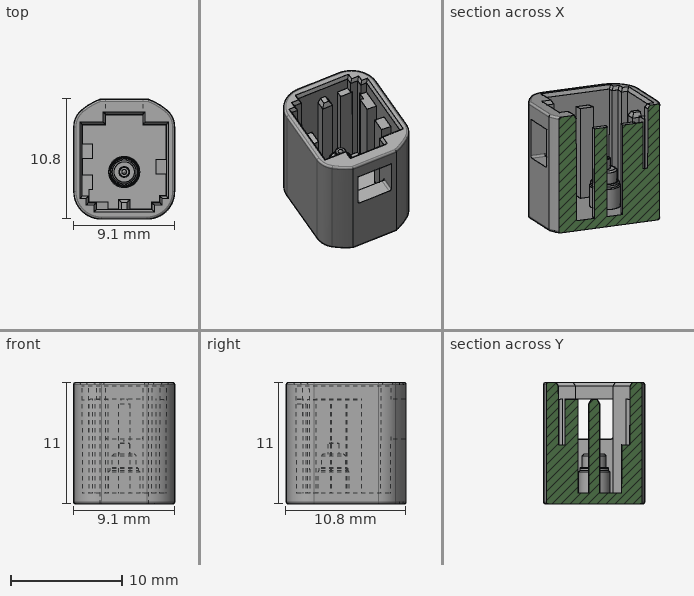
import cadquery as cq
import math

WIDTH = 9.1
DEPTH = 10.8
HEIGHT = 10.95
FRONT_CORNER_RADIUS = 2.5
CROWN_RADIUS = 6.0
CROWN_FLAT_WIDTH = 4.4
SHOULDER_RADIUS = 2.0
RIM_FILLET = 0.2

FLOOR_Z = 1.0
CAVITY_HALF_WIDTH = 3.74
CAVITY_FRONT_Y = 0.92
CAVITY_REAR_Y = 8.48
TAB_HALF_WIDTH = 1.69
TAB_REAR_Y = 9.38
OUTER_STEP_HALF_WIDTH = 3.16
OUTER_STEP_Y = 2.13
INNER_STEP_HALF_WIDTH = 2.45
INNER_STEP_Y = 1.53
DRAFT_GROWTH = 0.06
MOUTH_FLARE = 0.2
FLARE_ANGLE = 60.0
MOUTH_DEPTH = MOUTH_FLARE * math.tan(math.radians(FLARE_ANGLE))

WINDOW_TOP_Z = HEIGHT - 1.5
WINDOW_HEIGHT = 3.6
WINDOW_CORNER_RADIUS = 0.2

POST_TOP_Z = WINDOW_TOP_Z
POST_SLOPE = 5.0
WALL_OVERLAP = 0.2
POST_INNER_X = 2.84
POST_LENGTH = 1.3
LEFT_POST_FRONT_Y = (2.68, 5.46)
RIGHT_POST_FRONT_Y = 4.08
WEB_INNER_X = OUTER_STEP_HALF_WIDTH
FRONT_POST_INNER_X = 1.46

RIB_WIDTH = 1.0
RIB_REAR_Y = 1.76
RIB_CHAMFER_WIDTH = 0.25
RIB_TOP_Z = POST_TOP_Z

CONTACT_Y = 4.25
COLLAR_RADIUS = 1.4
COLLAR_TOP_Z = 3.0
COLLAR_CHAMFER = 0.1
COLLAR_STEP_HEIGHT = 0.3
SLEEVE_RADIUS = 1.08
SLEEVE_TOP_Z = 4.5
SLEEVE_CHAMFER = 0.16
PIN_RADIUS = 0.48
PIN_TOP_Z = 5.5
PIN_CHAMFER = 0.06
TIP_RADIUS = 0.22
TIP_HEIGHT = 0.22


def polar(center, radius, angle):
    """Point at an angle (radians, from +X) on a circle."""
    return (center[0] + radius * math.cos(angle), center[1] + radius * math.sin(angle))


def mirrored(point):
    return (-point[0], point[1])


def make_shell():
    """Solid body: rounded near corners, two-arc shoulders and a flat at the rear."""
    half_width = WIDTH / 2
    near_flat = half_width - FRONT_CORNER_RADIUS
    corner_center = (near_flat, FRONT_CORNER_RADIUS)
    crown_flat = CROWN_FLAT_WIDTH / 2
    crown_center = (0, DEPTH - math.sqrt(CROWN_RADIUS**2 - crown_flat**2))
    shoulder_x = half_width - SHOULDER_RADIUS
    shoulder_rise = math.sqrt((CROWN_RADIUS - SHOULDER_RADIUS)**2 - shoulder_x**2)
    shoulder_center = (shoulder_x, crown_center[1] + shoulder_rise)
    blend_angle = math.atan2(shoulder_rise, shoulder_x)
    flat_angle = math.acos(crown_flat / CROWN_RADIUS)

    corner_mid = polar(corner_center, FRONT_CORNER_RADIUS, -math.pi / 4)
    shoulder_mid = polar(shoulder_center, SHOULDER_RADIUS, blend_angle / 2)
    blend = polar(crown_center, CROWN_RADIUS, blend_angle)
    crown_mid = polar(crown_center, CROWN_RADIUS, (blend_angle + flat_angle) / 2)

    outline = (
        cq.Workplane("XY")
        .moveTo(-near_flat, 0)
        .lineTo(near_flat, 0)
        .threePointArc(corner_mid, (half_width, FRONT_CORNER_RADIUS))
        .lineTo(half_width, shoulder_center[1])
        .threePointArc(shoulder_mid, blend)
        .threePointArc(crown_mid, (crown_flat, DEPTH))
        .lineTo(-crown_flat, DEPTH)
        .threePointArc(mirrored(crown_mid), mirrored(blend))
        .threePointArc(mirrored(shoulder_mid), (-half_width, shoulder_center[1]))
        .lineTo(-half_width, FRONT_CORNER_RADIUS)
        .threePointArc(mirrored(corner_mid), (-near_flat, 0))
        .close()
    )
    return outline.extrude(HEIGHT).faces("<Z or >Z").edges().fillet(RIM_FILLET)


def cavity_outline(z, draft, flare):
    """Closed stepped outline of the cavity at a height, grown outwards by draft and flare."""
    growth = draft + flare
    right_half = [
        (INNER_STEP_HALF_WIDTH + growth, CAVITY_FRONT_Y - growth),
        (INNER_STEP_HALF_WIDTH + growth, INNER_STEP_Y - growth),
        (OUTER_STEP_HALF_WIDTH + growth, INNER_STEP_Y - growth),
        (OUTER_STEP_HALF_WIDTH + growth, OUTER_STEP_Y - growth),
        (CAVITY_HALF_WIDTH + growth, OUTER_STEP_Y - growth),
        (CAVITY_HALF_WIDTH + growth, CAVITY_REAR_Y + growth),
        (TAB_HALF_WIDTH + flare, CAVITY_REAR_Y + growth),
        (TAB_HALF_WIDTH + flare, TAB_REAR_Y + growth),
    ]
    left_half = [mirrored(point) for point in reversed(right_half)]
    return cq.Wire.makePolygon([cq.Vector(x, y, z) for x, y in right_half + left_half], close=True)


def make_cavity():
    """Pocket with slightly leaning walls, topped by a flared mouth."""
    floor = cavity_outline(FLOOR_Z, 0, 0)
    throat = cavity_outline(HEIGHT - MOUTH_DEPTH, DRAFT_GROWTH, 0)
    rim = cavity_outline(HEIGHT, DRAFT_GROWTH, MOUTH_FLARE)
    pocket = cq.Solid.makeLoft([floor, throat], True)
    mouth = cq.Solid.makeLoft([throat, rim], True)
    return cq.Workplane(pocket).union(cq.Workplane(mouth))


def make_window():
    """Opening through the rear wall behind the tab recess, rounded at the sill."""
    return (
        cq.Workplane("XY")
        .box(2 * TAB_HALF_WIDTH, DEPTH - CAVITY_REAR_Y, WINDOW_HEIGHT, centered=(True, False, False))
        .translate((0, CAVITY_REAR_Y, WINDOW_TOP_Z - WINDOW_HEIGHT))
        .edges("|Y and <Z")
        .fillet(WINDOW_CORNER_RADIUS)
    )


def make_post(reach, length):
    """Post standing on the floor: inner face at X = 0, wall at X = reach, Y from 0 to length."""
    wall_top_z = POST_TOP_Z - reach * math.tan(math.radians(POST_SLOPE))
    return (
        cq.Workplane("XZ")
        .polyline([(0, FLOOR_Z), (reach, FLOOR_Z), (reach, wall_top_z), (0, POST_TOP_Z)])
        .close()
        .extrude(-length)
    )


def make_posts():
    side_reach = CAVITY_HALF_WIDTH - POST_INNER_X + WALL_OVERLAP
    right_post = make_post(side_reach, POST_LENGTH)
    left_post = right_post.mirror("YZ")
    posts = right_post.translate((POST_INNER_X, RIGHT_POST_FRONT_Y, 0))
    for front_y in LEFT_POST_FRONT_Y:
        posts = posts.union(left_post.translate((-POST_INNER_X, front_y, 0)))

    web_front_y = OUTER_STEP_Y - WALL_OVERLAP
    web_length = LEFT_POST_FRONT_Y[0] - web_front_y
    web_width = CAVITY_HALF_WIDTH - WEB_INNER_X + WALL_OVERLAP
    web_limits = (
        cq.Workplane("XY")
        .box(web_width, web_length, HEIGHT, centered=False)
        .translate((-CAVITY_HALF_WIDTH - WALL_OVERLAP, web_front_y, 0))
    )
    web = make_post(side_reach, web_length).mirror("YZ").translate((-POST_INNER_X, web_front_y, 0))
    posts = posts.union(web.intersect(web_limits))

    front_post_left_x = -INNER_STEP_HALF_WIDTH - WALL_OVERLAP
    front_post = (
        make_post(INNER_STEP_Y - CAVITY_FRONT_Y + WALL_OVERLAP, -FRONT_POST_INNER_X - front_post_left_x)
        .rotate((0, 0, 0), (0, 0, 1), -90)
        .translate((front_post_left_x, INNER_STEP_Y, 0))
    )
    return posts.union(front_post)


def make_rib():
    """Key rib on the near wall with a steep chamfer around its top."""
    chamfer_height = RIB_CHAMFER_WIDTH * math.tan(math.radians(FLARE_ANGLE))
    rib_front_y = CAVITY_FRONT_Y - WALL_OVERLAP - RIB_CHAMFER_WIDTH
    rib_length = RIB_REAR_Y - rib_front_y
    return (
        cq.Workplane("XY", origin=(0, rib_front_y + rib_length / 2, FLOOR_Z))
        .rect(RIB_WIDTH, rib_length)
        .extrude(RIB_TOP_Z - chamfer_height - FLOOR_Z)
        .faces(">Z")
        .wires()
        .toPending()
        .workplane()
        .extrude(chamfer_height, taper=90 - FLARE_ANGLE)
    )


def make_contact():
    """Stepped round contact with chamfered shoulders and a pointed tip."""
    tip_z = PIN_TOP_Z + TIP_HEIGHT
    step_radius = COLLAR_RADIUS - COLLAR_CHAMFER
    step_z = COLLAR_TOP_Z + COLLAR_STEP_HEIGHT
    profile = [
        (0, FLOOR_Z),
        (COLLAR_RADIUS, FLOOR_Z),
        (COLLAR_RADIUS, COLLAR_TOP_Z - COLLAR_CHAMFER),
        (step_radius, COLLAR_TOP_Z),
        (step_radius, step_z - COLLAR_CHAMFER),
        (step_radius - COLLAR_CHAMFER, step_z),
        (SLEEVE_RADIUS, step_z),
        (SLEEVE_RADIUS, SLEEVE_TOP_Z - SLEEVE_CHAMFER),
        (SLEEVE_RADIUS - SLEEVE_CHAMFER, SLEEVE_TOP_Z),
        (PIN_RADIUS, SLEEVE_TOP_Z),
        (PIN_RADIUS, PIN_TOP_Z - PIN_CHAMFER),
        (PIN_RADIUS - PIN_CHAMFER, PIN_TOP_Z),
        (TIP_RADIUS, PIN_TOP_Z),
        (0, tip_z),
    ]
    contact = cq.Workplane("XZ").polyline(profile).close().revolve(360, (0, 0), (0, 1))
    return contact.translate((0, CONTACT_Y, 0))


housing = make_shell().cut(make_cavity()).cut(make_window())
result = housing.union(make_posts()).union(make_rib()).union(make_contact())